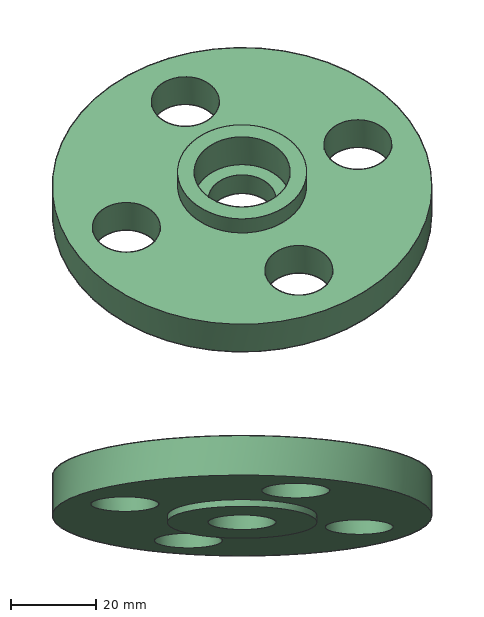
import cadquery as cq

flange_diameter = 88.9
flange_thickness = 9.5

face_diameter = 35.0
face_height = 1.6

hub_diameter = 30.2
hub_height = 4.8
socket_diameter = 22.5
socket_depth = 9.5
bore_diameter = 15.9

bolt_count = 4
bolt_hole_diameter = 15.9
bolt_circle_diameter = 60.4

flange_top = face_height + flange_thickness
total_height = flange_top + hub_height


def cylinder(diameter, bottom, height):
    """Solid cylinder on the Z axis."""
    return cq.Workplane("XY").workplane(offset=bottom).circle(diameter / 2).extrude(height)


body = (
    cylinder(face_diameter, 0, face_height)
    .union(cylinder(flange_diameter, face_height, flange_thickness))
    .union(cylinder(hub_diameter, flange_top, hub_height))
)

bore = cylinder(bore_diameter, 0, total_height)
socket = cylinder(socket_diameter, total_height - socket_depth, socket_depth)
bolt_holes = (
    cq.Workplane("XY")
    .polarArray(bolt_circle_diameter / 2, 0, 360, bolt_count)
    .circle(bolt_hole_diameter / 2)
    .extrude(total_height)
)

result = body.cut(bore).cut(socket).cut(bolt_holes)